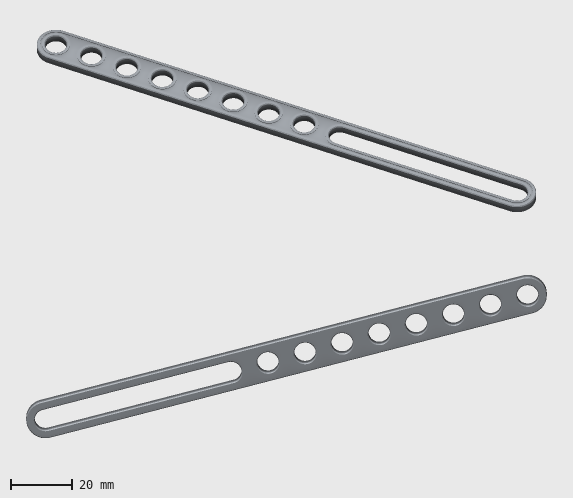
import cadquery as cq

length = 175.0
thickness = 3.2
positions = 14
round_holes = 8
hole_diameter = 7.0
border_width = 1.1
recess_depth = 0.21
edge_chamfer = 0.3

pitch = length / positions
width = pitch
collar_diameter = hole_diameter + 2 * border_width
floor_height = thickness - recess_depth
last_position = positions - 1
slot_start = round_holes


def position_x(index):
    """X of a hole position, counted from the -X end of the bar."""
    return (index - last_position / 2) * pitch


def rounded_bar(first, last, diameter, bottom, height):
    """Flat bar with round ends centred on two hole positions."""
    span = position_x(last) - position_x(first)
    middle = (position_x(first) + position_x(last)) / 2
    return (
        cq.Workplane("XY", origin=(middle, 0, bottom))
        .slot2D(span + diameter, diameter)
        .extrude(height)
    )


def cylinders(diameter, bottom, height):
    """Upright cylinders at all the round-hole positions."""
    centres = [(position_x(index), 0) for index in range(round_holes)]
    return (
        cq.Workplane("XY", origin=(0, 0, bottom))
        .pushPoints(centres)
        .circle(diameter / 2)
        .extrude(height)
    )


bar = rounded_bar(0, last_position, width, 0, thickness)
holes = cylinders(hole_diameter, 0, thickness)
slot = rounded_bar(slot_start, last_position, hole_diameter, 0, thickness)
bar = bar.cut(holes).cut(slot)
bar = bar.faces("<Z or >Z").edges().chamfer(edge_chamfer)

recess = rounded_bar(0, last_position, width - 2 * border_width, floor_height, recess_depth)
hole_collars = cylinders(collar_diameter, floor_height, recess_depth)
slot_collar = rounded_bar(slot_start, last_position, collar_diameter, floor_height, recess_depth)
recess = recess.cut(hole_collars).cut(slot_collar)

result = bar.cut(recess)